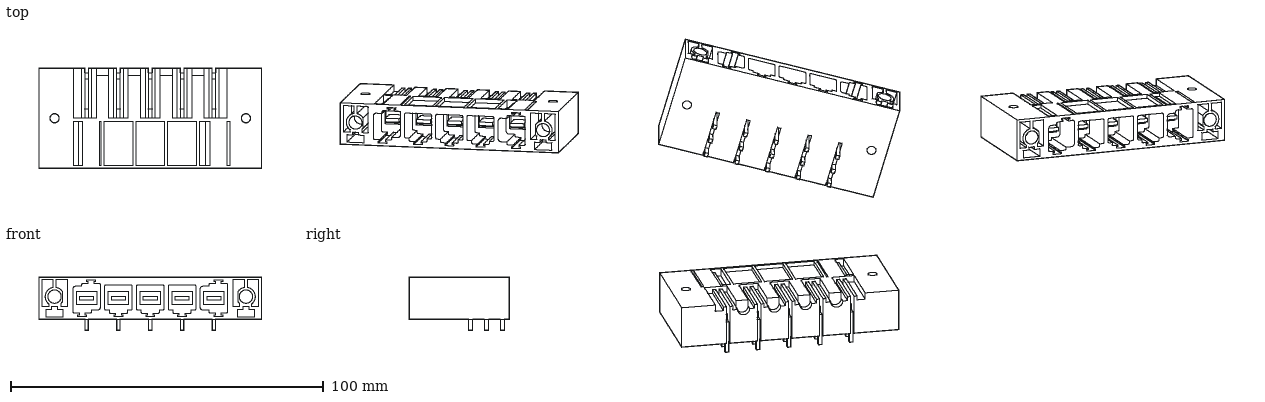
import cadquery as cq

length = 71.1
depth = 32.0
height = 13.5
front = -depth / 2
back = depth / 2
mid_z = height / 2
wall = 0.85

pitch = 10.2
contact_count = 5
contact_xs = [(i - (contact_count - 1) / 2) * pitch for i in range(contact_count)]

socket_depth = 12.8
socket_end = front + socket_depth
socket_half_width = 4.4
side_rise = 3.85
top_rise = 4.3
middle_step_rise = 4.9
middle_step_half_width = 2.9
end_step_rise = 4.8
end_step_left = -1.6
end_corner_radius = 1.0
corner_radius = 0.5
keyway_neck_half_width = 0.9
keyway_head_half_width = 1.4
keyway_neck_rise = 5.3
keyway_rise = 5.8
end_keyway_offset = 1.4
contact_recess_width = 6.55
contact_recess_height = 4.2

top_pocket_end = -1.1
top_pocket_half_width = 4.6
top_pocket_depth = 1.3
deep_ledge_depth = 2.4
ledge_depth = 1.1
plateau_left = -1.3
ledge_left = -2.6
plateau_right = 4.2
first_pocket_left = -4.2
first_pocket_right = 4.6
last_pocket_right = 5.1

rear_start = 0.15
trough_half_width = 3.1
outer_trough_half_width = 4.2
trough_depth = 2.1
rib_half_spread = 1.6
rib_height = 1.3
slot_width = 1.15
scoop_length = 2.35
scoop_radius = pitch / 2 - trough_half_width

flange_inset = 5.0
flange_xs = (-length / 2 + flange_inset, length / 2 - flange_inset)
bore_z = 7.25
bore_radius = 2.1
sleeve_radius = 3.0
sleeve_flat = 2.5
flange_pocket_outer = 4.0
flange_pocket_inner = 4.1
flange_pocket_top = 12.65
flange_pocket_bottom = 4.05
strut_half_width = 0.5
foot_outer = 1.8
foot_inner = 2.05
nut_slot_half_width = 2.8
nut_slot_bottom = 0.8
nut_slot_top = 3.2
nut_tab_half_width = 1.0
board_hole_radius = 1.4
insert_length = 4.3

blade_width = 4.5
blade_thickness = 1.15
blade_tip = front + 8.5
plate_front = 2.9
plate_back = 14.5
plate_top = 8.5
shoulder_start = 12.5
shoulder_top = mid_z
leg_count = 3
leg_length = 3.55
leg_width = 1.35
leg_spacing = (plate_back - plate_front - leg_width) / (leg_count - 1)


def block(x0, x1, y0, y1, z0, z1):
    """Box between two opposite corners."""
    return cq.Workplane("XY").box(x1 - x0, y1 - y0, z1 - z0, centered=False).translate((x0, y0, z0))


def socket_block(x0, x1, z0, z1):
    """Box as deep as a socket, with z measured from the middle of the housing."""
    return block(x0, x1, front, socket_end, mid_z + z0, mid_z + z1)


def keyway(x):
    """T-shaped keyway above the socket's middle plane."""
    neck = socket_block(x - keyway_neck_half_width, x + keyway_neck_half_width, 0, keyway_rise)
    head = socket_block(x - keyway_head_half_width, x + keyway_head_half_width, keyway_neck_rise, keyway_rise)
    return neck.union(head)


def end_socket_half():
    """Upper half of an end socket: a high part on the right and a lower, rounded shoulder on the left."""
    shoulder = socket_block(-socket_half_width, socket_half_width, 0, side_rise)
    shoulder = shoulder.edges("|Y and <X and >Z").fillet(end_corner_radius)
    high_part = socket_block(end_step_left, socket_half_width, 0, end_step_rise)
    high_part = high_part.edges("|Y and >Z").fillet(corner_radius)
    return shoulder.union(high_part).union(keyway(end_keyway_offset))


def first_socket():
    half = end_socket_half()
    return half.union(half.rotate((0, 0, mid_z), (0, 1, mid_z), 180))


def last_socket():
    half = end_socket_half()
    return half.union(half.mirror("XY", (0, 0, mid_z)))


def middle_socket():
    body = socket_block(-socket_half_width, socket_half_width, -side_rise, top_rise)
    body = body.edges("|Y").fillet(corner_radius)
    step = socket_block(-middle_step_half_width, middle_step_half_width, -middle_step_rise, 0)
    step = step.edges("|Y and <Z").fillet(corner_radius)
    return body.union(step).union(keyway(0).mirror("XY", (0, 0, mid_z)))


def contact_recess():
    """Recess behind the socket floor, around the root of the blade."""
    half_width = contact_recess_width / 2
    half_height = contact_recess_height / 2
    return block(-half_width, half_width, socket_end, top_pocket_end, mid_z - half_height, mid_z + half_height)


def top_pocket(x0, x1, pocket_depth):
    return block(x0, x1, front + wall, top_pocket_end, height - pocket_depth, height)


def stepped_top_pocket(left):
    """Pocket with a deep floor on the left and a shallower ledge beside the plateau."""
    return top_pocket(left, ledge_left, deep_ledge_depth).union(top_pocket(ledge_left, plateau_left, ledge_depth))


def rear_trough(left, right):
    """Trough behind a socket with two ribs, and a through slot for the contact between them."""
    floor = height - trough_depth
    trough = block(left, right, rear_start, back, floor, height)
    ribs = block(-rib_half_spread, rib_half_spread, rear_start, back, floor, floor + rib_height)
    slot = block(-slot_width / 2, slot_width / 2, rear_start, back, 0, height)
    return trough.cut(ribs).union(slot)


def rear_scoop():
    """U-shaped scoop at the rear end of the land between two troughs, round below the trough floors."""
    floor = height - trough_depth
    round_part = cq.Workplane("XZ", origin=(0, back, floor)).circle(scoop_radius).extrude(scoop_length)
    return round_part.union(block(-scoop_radius, scoop_radius, back - scoop_length, back, floor, height))


def flange_cavities():
    """Cavities of the left flange, about its bore axis at x = 0; the +X side faces the contacts."""
    end = socket_end
    cavity = block(
        -flange_pocket_outer, flange_pocket_inner, front, end, flange_pocket_bottom, flange_pocket_top
    )
    sleeve = cq.Workplane("XZ", origin=(0, front, bore_z)).circle(sleeve_radius).extrude(-socket_depth)
    sleeve = sleeve.intersect(block(-sleeve_radius, sleeve_flat, front, end, 0, height))
    strut = block(-strut_half_width, strut_half_width, front, end, bore_z, flange_pocket_top)
    foot = block(-foot_outer, foot_inner, front, end, flange_pocket_bottom, bore_z - bore_radius)
    bore = cq.Workplane("XZ", origin=(0, front, bore_z)).circle(bore_radius).extrude(-socket_depth)
    nut_slot = block(-nut_slot_half_width, nut_slot_half_width, front, end, nut_slot_bottom, nut_slot_top)
    nut_tab = block(-nut_tab_half_width, nut_tab_half_width, front, end, nut_slot_top, flange_pocket_bottom)
    board_hole = cq.Workplane("XY").circle(board_hole_radius).extrude(height)
    cavity = cavity.cut(sleeve).cut(strut).cut(foot)
    return cavity.union(bore).union(nut_slot).union(nut_tab).union(board_hole)


def blade():
    """Flat blade of a contact, from its tip in the socket back to the upright plate."""
    return block(
        -blade_width / 2, blade_width / 2, blade_tip, plate_front,
        mid_z - blade_thickness / 2, mid_z + blade_thickness / 2,
    )


def make_contact():
    """Flat blade on an upright plate with solder legs."""
    half_slot = slot_width / 2
    contact = block(-half_slot, half_slot, plate_front, shoulder_start, 0, plate_top)
    contact = contact.union(block(-half_slot, half_slot, shoulder_start, plate_back, 0, shoulder_top))
    contact = contact.union(blade())
    for i in range(leg_count):
        leg_front = plate_front + i * leg_spacing
        contact = contact.union(block(-half_slot, half_slot, leg_front, leg_front + leg_width, -leg_length, 0))
    return contact


def make_housing():
    housing = block(-length / 2, length / 2, front, back, 0, height)
    first_x, *middle_xs, last_x = contact_xs

    for x in contact_xs:
        housing = housing.cut(contact_recess().translate((x, 0, 0)))
        housing = housing.cut(blade().translate((x, 0, 0)))

    housing = housing.cut(first_socket().translate((first_x, 0, 0)))
    housing = housing.cut(stepped_top_pocket(first_pocket_left).translate((first_x, 0, 0)))
    housing = housing.cut(top_pocket(plateau_right, first_pocket_right, ledge_depth).translate((first_x, 0, 0)))
    housing = housing.cut(rear_trough(-outer_trough_half_width, trough_half_width).translate((first_x, 0, 0)))

    for x in middle_xs:
        housing = housing.cut(middle_socket().translate((x, 0, 0)))
        housing = housing.cut(
            top_pocket(-top_pocket_half_width, top_pocket_half_width, top_pocket_depth).translate((x, 0, 0))
        )
        housing = housing.cut(rear_trough(-trough_half_width, trough_half_width).translate((x, 0, 0)))

    housing = housing.cut(last_socket().translate((last_x, 0, 0)))
    housing = housing.cut(stepped_top_pocket(-top_pocket_half_width).translate((last_x, 0, 0)))
    housing = housing.cut(top_pocket(plateau_right, last_pocket_right, ledge_depth).translate((last_x, 0, 0)))
    housing = housing.cut(rear_trough(-trough_half_width, outer_trough_half_width).translate((last_x, 0, 0)))

    for x in contact_xs[:-1]:
        housing = housing.cut(rear_scoop().translate((x + pitch / 2, 0, 0)))

    left_x, right_x = flange_xs
    housing = housing.cut(flange_cavities().translate((left_x, 0, 0)))
    return housing.cut(flange_cavities().mirror("YZ").translate((right_x, 0, 0)))


def make_insert():
    """Round insert at the inner end of a flange bore."""
    return cq.Workplane("XZ", origin=(0, socket_end, bore_z)).circle(bore_radius).extrude(insert_length)


housing = make_housing()
contacts = [make_contact().translate((x, 0, 0)).val() for x in contact_xs]
inserts = [make_insert().translate((x, 0, 0)).val() for x in flange_xs]

result = cq.Compound.makeCompound([housing.val(), *contacts, *inserts])